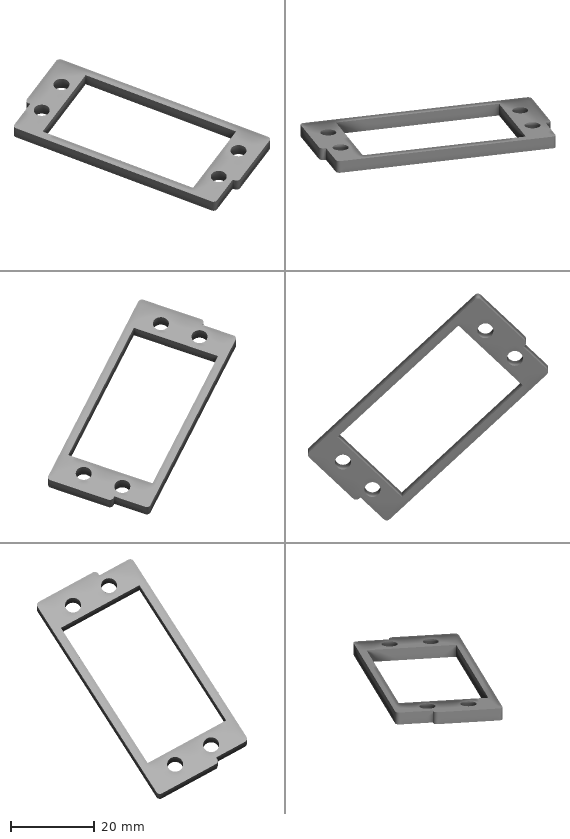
import cadquery as cq

length = 58.2
width = 26.0
thickness = 3.0
corner_radius = 1.0

notch_inset = 1.45
notch_depth = 9.0

window_length = 41.05
window_width = 21.95

hole_diameter = 3.85
hole_pitch_x = 48.3
hole_pitch_y = 10.05
hole_center_y = 0.4


def notched_plate():
    """Plate with stepped front corners and rounded outer corners."""
    plate = cq.Workplane("XY").box(length, width, thickness, centered=(True, True, False))
    plate = plate.edges("|Z and >Y").fillet(corner_radius)
    notch_center_x = (length - notch_inset) / 2
    notch_center_y = (notch_depth - width) / 2
    notches = (
        cq.Workplane("XY")
        .pushPoints([(side * notch_center_x, notch_center_y) for side in (-1, 1)])
        .rect(notch_inset, notch_depth)
        .extrude(thickness)
    )
    plate = plate.cut(notches)
    plate = plate.edges("|Z and <Y").fillet(corner_radius)

    step_y = notch_depth - width / 2
    for side in (-1, 1):
        step_corner = cq.selectors.NearestToPointSelector((side * length / 2, step_y, thickness / 2))
        plate = plate.edges("|Z").edges(step_corner).fillet(corner_radius)
    return plate


def window():
    return cq.Workplane("XY").rect(window_length, window_width).extrude(thickness)


def mounting_holes():
    return (
        cq.Workplane("XY")
        .center(0, hole_center_y)
        .rect(hole_pitch_x, hole_pitch_y, forConstruction=True)
        .vertices()
        .circle(hole_diameter / 2)
        .extrude(thickness)
    )


result = notched_plate().cut(window()).cut(mounting_holes())